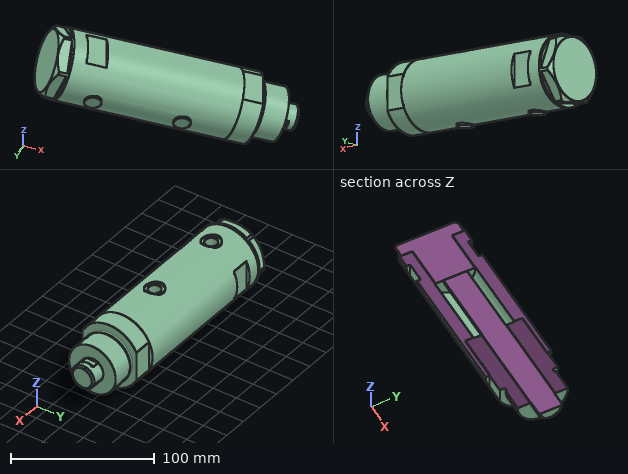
import cadquery as cq
import math

total_length = 186.0
hex_end = 9.0
cap_end = 10.6
housing_end = 138.0
collar_end = 153.3
nose_start = 156.5
nose_end = 174.0
coupling_start = 179.9

barrel_radius = 26.0
across_flats = 46.1

hex_turn = -7.5
hex_face_radius = 22.7
hex_chamfer = 2.8

flat_start = 20.8
flat_length = 15.0

port_positions = (30.5, 98.8)
port_diameter = 9.9
spotface_diameter = 14.9
spotface_depth = 1.5

boss_positions = (34.8, 101.5)
boss_diameter = 12.3
boss_height = 1.0
boss_root = 5.5

bore_radius = 16.0
stub_end = 44.6

spigot_start = 101.5
spigot_radius = 22.3
nose_diameter = 40.0
relief_radius = 19.0
relief_fillet = 0.7
relief_end = 155.9

rod_diameter = 19.0
rod_radius = rod_diameter / 2
coupling_flat_distance = 16.0
tip_chamfer = 1.3


def cylinder(start, end, radius):
    """Solid cylinder on the X axis between two stations."""
    return cq.Workplane("YZ", origin=(start, 0, 0)).circle(radius).extrude(end - start)


def side_slabs(axis, start, end, distance):
    """Two slabs that cut a pair of flats, a given distance apart, into a round body."""
    slab = 2 * barrel_radius
    offset = (distance + slab) / 2
    slabs = cq.Workplane("XY")
    for side in (-1, 1):
        shift = (0, side * offset, 0) if axis == "Y" else (0, 0, side * offset)
        block = cq.Workplane("XY").box(end - start, slab, slab).translate(((start + end) / 2, 0, 0))
        slabs = slabs.add(block.translate(shift))
    return slabs.combine()


def make_cap():
    """Hexagon head with turned corners, a round flange and a stub that plugs the bore."""
    corner_diameter = across_flats / math.cos(math.pi / 6)
    hexagon = cq.Workplane("YZ").polygon(6, corner_diameter).extrude(hex_end)
    hexagon = hexagon.rotate((0, 0, 0), (1, 0, 0), hex_turn)
    turned_blank = (
        cq.Workplane("XY")
        .moveTo(0, 0)
        .lineTo(0, hex_face_radius)
        .lineTo(hex_chamfer, barrel_radius)
        .lineTo(hex_end, barrel_radius)
        .lineTo(hex_end, 0)
        .close()
        .revolve(360, (0, 0, 0), (1, 0, 0))
    )
    flange = cylinder(hex_end, cap_end, barrel_radius)
    stub = cylinder(cap_end, stub_end, bore_radius)
    return hexagon.intersect(turned_blank).union(flange).union(stub)


def make_housing():
    """Stepped-bore barrel with wrench flats, two spotfaced ports on top and two bosses below."""
    housing = cylinder(cap_end, housing_end, barrel_radius)
    for x in boss_positions:
        boss = cq.Workplane("XY", origin=(x, 0, -barrel_radius - boss_height))
        housing = housing.union(boss.circle(boss_diameter / 2).extrude(boss_height + boss_root))
    housing = housing.cut(side_slabs("Y", flat_start, flat_start + flat_length, across_flats))
    housing = housing.cut(cylinder(cap_end, housing_end, bore_radius))
    housing = housing.cut(cylinder(spigot_start, housing_end, spigot_radius))
    for x in port_positions:
        port = cq.Workplane("XY", origin=(x, 0, barrel_radius))
        housing = housing.cut(port.circle(port_diameter / 2).extrude(-barrel_radius))
        housing = housing.cut(port.circle(spotface_diameter / 2).extrude(-spotface_depth))
    return housing


def make_gland():
    """Spigot inside the housing, collar with wrench flats, relief groove and nose."""
    nose_radius = nose_diameter / 2
    floor_start = collar_end + relief_fillet
    floor_end = relief_end - relief_fillet
    gland = (
        cq.Workplane("XY")
        .moveTo(spigot_start, rod_radius)
        .lineTo(spigot_start, spigot_radius)
        .lineTo(housing_end, spigot_radius)
        .lineTo(housing_end, barrel_radius)
        .lineTo(collar_end, barrel_radius)
        .lineTo(collar_end, relief_radius + relief_fillet)
        .radiusArc((floor_start, relief_radius), -relief_fillet)
        .lineTo(floor_end, relief_radius)
        .radiusArc((floor_end + relief_fillet, relief_radius + relief_fillet), -relief_fillet)
        .lineTo(nose_start, nose_radius)
        .lineTo(nose_end, nose_radius)
        .lineTo(nose_end, rod_radius)
        .close()
        .revolve(360, (0, 0, 0), (1, 0, 0))
    )
    return gland.cut(side_slabs("Y", housing_end, collar_end, across_flats))


def make_rod():
    """Rod that ends in a coupling head behind two flats."""
    rod = cylinder(stub_end, total_length, rod_radius).faces(">X").chamfer(tip_chamfer)
    return rod.cut(side_slabs("Z", nose_end, coupling_start, coupling_flat_distance))


cap = make_cap()
housing = make_housing()
gland = make_gland()
rod = make_rod()

result = cq.Compound.makeCompound([cap.val(), housing.val(), gland.val(), rod.val()])